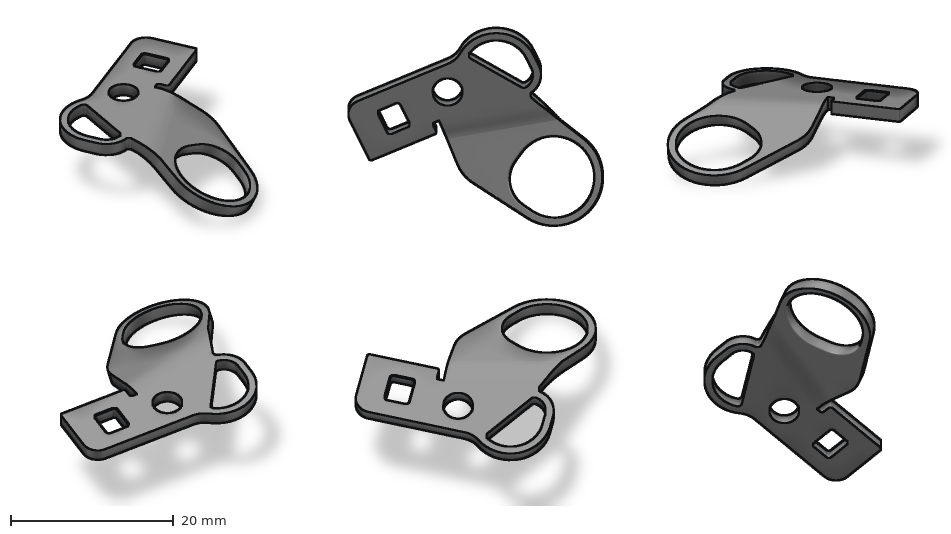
import cadquery as cq
import math


thickness = 1.65
bend_angle = 23.6
bend_inner_radius = 6.0
bend_outer_radius = bend_inner_radius + thickness
bend_sections = 4
bend_line_tilt = 13.7

plate_width = 8.0
plate_tab_length = 9.05
notch_x = 6.54
notch_bottom_y = -9.95
big_corner_radius = 2.0
small_corner_radius = 0.3

window_width = 3.5
window_height = 3.0
window_corner_radius = 0.4
window_center = (plate_width / 2, -5.02)
window_chamfer = 0.1

round_hole_diameter = 3.65
round_hole_center = (3.46, -12.53)

loop_wall = 1.0
lobe_big_radius = 5.0
lobe_small_radius = 3.0
lobe_big_center = (3.25, -19.2)
lobe_small_x = 4.87
lobe_small_center = (lobe_small_x, lobe_big_center[1] - lobe_big_radius + lobe_small_radius)
lobe_neck_radius = 3.0
lobe_crotch_radius = 0.5
slot_chord_start = (0.44, -16.92)
slot_chord_slope = -33.8
slot_corner_radius = 0.5

root_edge_slope = 22.0
root_bottom_v = -12.45
wing_top_v = -0.56
wing_bottom_v = -14.6
wing_shoulder = (4.78, -1.63)
wing_shoulder_radius = 5.0
ring_center = (6.80, -12.70)
ring_outer_radius = 6.0
ring_hole_radius = ring_outer_radius - loop_wall
ring_hole_bulge_radius = 3.8
ring_hole_bulge_offset = 1.72
ring_hole_edge_radius = 0.2

bend_rad = math.radians(bend_angle)
tilt_rad = math.radians(bend_line_tilt)
across = cq.Vector(math.cos(tilt_rad), math.sin(tilt_rad), 0)
along = cq.Vector(-math.sin(tilt_rad), math.cos(tilt_rad), 0)
up = cq.Vector(0, 0, 1)
bend_origin = cq.Vector(notch_x, notch_bottom_y, thickness)


def bend_point(u, v):
    """XY position of a point on the flat plate given in bend coordinates."""
    point = bend_origin + across * u + along * v
    return (point.x, point.y)


def on_circle(center, radius, angle):
    return (center[0] + radius * math.cos(angle), center[1] + radius * math.sin(angle))


def hull_of_circles(plane, center_a, radius_a, center_b, radius_b, depth):
    """Solid wrapped around two circles: two arcs joined by their outer tangents."""
    du = center_b[0] - center_a[0]
    dv = center_b[1] - center_a[1]
    axis = math.atan2(dv, du)
    spread = math.acos((radius_a - radius_b) / math.hypot(du, dv))
    return (
        cq.Workplane(plane)
        .moveTo(*on_circle(center_a, radius_a, axis + spread))
        .threePointArc(
            on_circle(center_a, radius_a, axis + math.pi),
            on_circle(center_a, radius_a, axis - spread),
        )
        .lineTo(*on_circle(center_b, radius_b, axis - spread))
        .threePointArc(
            on_circle(center_b, radius_b, axis),
            on_circle(center_b, radius_b, axis + spread),
        )
        .close()
        .extrude(depth)
    )


def round_corner(body, point, radius):
    """Fillet the upright edge nearest to an XY point."""
    target = (point[0], point[1], thickness / 2)
    return body.edges("|Z").edges(cq.selectors.NearestToPointSelector(target)).fillet(radius)


def make_slot():
    """D-shaped opening of the lobe: its inner hull, closed off by a slanted chord."""
    slot = hull_of_circles(
        cq.Plane.XY(),
        lobe_big_center, lobe_big_radius - loop_wall,
        lobe_small_center, lobe_small_radius - loop_wall,
        thickness,
    )
    cover_size = 4 * lobe_big_radius
    cover = (
        cq.Workplane("XY")
        .rect(cover_size, cover_size)
        .extrude(thickness)
        .translate((0, cover_size / 2, 0))
        .rotate((0, 0, 0), (0, 0, 1), slot_chord_slope)
        .translate((*slot_chord_start, 0))
    )
    slot = slot.cut(cover)
    chord_end = (lobe_small_x + lobe_small_radius - loop_wall, lobe_small_center[1])
    slot = round_corner(slot, slot_chord_start, slot_corner_radius)
    return round_corner(slot, chord_end, slot_corner_radius)


def make_lobe():
    return hull_of_circles(
        cq.Plane.XY(),
        lobe_big_center, lobe_big_radius,
        lobe_small_center, lobe_small_radius,
        thickness,
    )


def cut_window(body):
    """Cut the rounded rectangular window and break its upper edge."""
    window = (
        cq.Workplane("XY")
        .center(*window_center)
        .rect(window_width, window_height)
        .extrude(thickness)
        .edges("|Z")
        .fillet(window_corner_radius)
    )
    rim = cq.selectors.BoxSelector(
        (window_center[0] - window_width, window_center[1] - window_height, thickness / 2),
        (window_center[0] + window_width, window_center[1] + window_height, 2 * thickness),
    )
    return body.cut(window).faces(">Z").edges(rim).chamfer(window_chamfer)


def make_plate():
    root_bottom = bend_point(0, root_bottom_v)
    root_edge_run = root_bottom[0] - lobe_small_x
    root_edge_rise = root_edge_run * math.tan(math.radians(root_edge_slope))
    body = (
        cq.Workplane("XY")
        .polyline([
            (0, 0),
            (plate_width, 0),
            (plate_width, -plate_tab_length),
            (notch_x, -plate_tab_length),
            (notch_x, notch_bottom_y),
            root_bottom,
            (lobe_small_x, root_bottom[1] + root_edge_rise),
            lobe_big_center,
            (0, lobe_big_center[1]),
        ])
        .close()
        .extrude(thickness)
        .union(make_lobe())
    )
    body = round_corner(body, (0, 0), big_corner_radius)
    for corner in [
        (plate_width, 0),
        (plate_width, -plate_tab_length),
        (notch_x, -plate_tab_length),
    ]:
        body = round_corner(body, corner, small_corner_radius)

    neck_drop = math.sqrt(lobe_big_radius**2 - lobe_big_center[0]**2)
    crotch = (lobe_small_x + lobe_small_radius, lobe_small_center[1])
    body = round_corner(body, (0, lobe_big_center[1] + neck_drop), lobe_neck_radius)
    body = round_corner(body, crotch, lobe_crotch_radius)

    round_hole = (
        cq.Workplane("XY")
        .center(*round_hole_center)
        .circle(round_hole_diameter / 2)
        .extrude(thickness)
    )
    return cut_window(body.cut(round_hole).cut(make_slot()))


def make_bend():
    """Curved strip whose two ends slant steadily from the plate root to the wing."""
    axis_plane = cq.Plane(bend_origin - up * bend_outer_radius, across, along * -1)

    def cross_section(step):
        """Radial outline at a fraction of the bend, taller than the sheet on both sides."""
        angle = step * bend_rad
        radial = across * math.sin(angle) + up * math.cos(angle)
        top_v = step * wing_top_v
        bottom_v = root_bottom_v + step * (wing_bottom_v - root_bottom_v)
        corners = [
            axis_plane.origin + radial * radius + along * v
            for radius, v in [
                (bend_inner_radius - thickness, bottom_v),
                (bend_inner_radius - thickness, top_v),
                (bend_outer_radius + thickness, top_v),
                (bend_outer_radius + thickness, bottom_v),
            ]
        ]
        return cq.Wire.makePolygon(corners, close=True)

    sections = [cross_section(k / bend_sections) for k in range(bend_sections + 1)]
    envelope = cq.Solid.makeLoft(sections)
    pipe = (
        cq.Workplane(axis_plane)
        .circle(bend_outer_radius)
        .circle(bend_inner_radius)
        .extrude(-wing_bottom_v)
    )
    return pipe.intersect(cq.Workplane(envelope))


def tangent_point(point, center, radius, side):
    """Point where a line from an outside point touches a circle; side is +1 or -1."""
    du = point[0] - center[0]
    dv = point[1] - center[1]
    angle = math.atan2(dv, du) + side * math.acos(radius / math.hypot(du, dv))
    return on_circle(center, radius, angle)


def make_wing():
    """Flat tilted wing: its edges run tangent into the ring around the large hole."""
    slope = across * math.cos(bend_rad) - up * math.sin(bend_rad)
    normal = across * math.sin(bend_rad) + up * math.cos(bend_rad)
    top_start = bend_origin + (normal - up) * bend_outer_radius
    plane = cq.Plane(top_start, slope, normal)

    lower_tangent = tangent_point((0, wing_bottom_v), ring_center, ring_outer_radius, 1)
    upper_tangent = tangent_point(wing_shoulder, ring_center, ring_outer_radius, -1)
    shoulder_edge = plane.toWorldCoords((*wing_shoulder, -thickness / 2))
    wing = (
        cq.Workplane(plane)
        .moveTo(0, wing_bottom_v)
        .lineTo(*lower_tangent)
        .threePointArc((ring_center[0] + ring_outer_radius, ring_center[1]), upper_tangent)
        .lineTo(*wing_shoulder)
        .lineTo(0, wing_top_v)
        .close()
        .extrude(-thickness)
        .edges(cq.selectors.NearestToPointSelector(shoulder_edge.toTuple()))
        .fillet(wing_shoulder_radius)
    )
    bulge_center = (ring_center[0], ring_center[1] + ring_hole_bulge_offset)
    hole = hull_of_circles(
        plane,
        ring_center, ring_hole_radius,
        bulge_center, ring_hole_bulge_radius,
        -thickness,
    )
    underside = wing.cut(hole).faces(cq.selectors.DirectionMinMaxSelector(normal, False))
    hole_rim = underside.wires(cq.selectors.LengthNthSelector(0))
    return hole_rim.edges().fillet(ring_hole_edge_radius)


result = make_plate().union(make_bend()).union(make_wing())